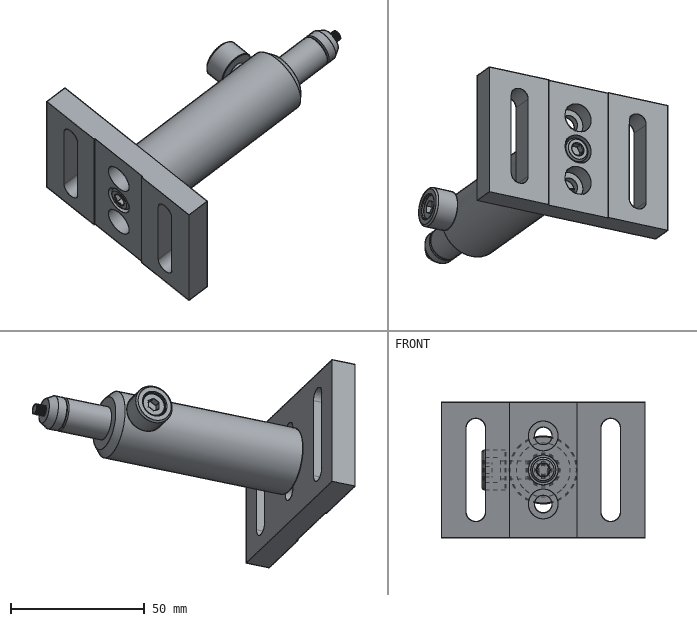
import cadquery as cq
import math


plate_width = 76.2
plate_height = 50.8
plate_thickness = 9.5
relief_width = plate_width / 3
relief_depth = 0.5
slot_width = 7.2
slot_length = 38.5
slot_offset = 25.2

hole_pitch = 12.7
hole_diameter = 6.5
counterbore_diameter = 11.1
counterbore_floor = 6.9
screw_shank_diameter = 6.3
screw_head_diameter = 9.4
screw_head_height = 6.2
screw_head_chamfer = 0.7
socket_across_flats = 4.5
socket_mouth_diameter = 5.3
socket_depth = 3.0
base_screw_reach = 10.0

barrel_diameter = 25.4
barrel_length = plate_width
barrel_start = plate_thickness
barrel_end = barrel_start + barrel_length
barrel_front_chamfer = 0.3
barrel_end_chamfer = 2.6
bore_depth = 50.8

post_diameter = 12.7
post_start = barrel_end - bore_depth
joint_chamfer = 0.5
tip_length = 6.9
tip_face_diameter = 9.4
tip_cone_length = 3.0

stud_end = 114.6
stud_exposed = 4.0
stud_diameter = 4.0
stud_root_diameter = 3.3
stud_pitch = 0.7
thread_mouth = 0.62
thread_overcut = 0.06
stud_post_engagement = 6.9
tip_end = stud_end - stud_exposed
post_end = tip_end - tip_length
stud_start = post_end - stud_post_engagement

thumb_setback = 10.1
thumb_y = barrel_end - thumb_setback
knob_diameter = 15.0
knob_outer_x = -22.9
knob_inner_x = -14.0
knob_outer_chamfer = 0.7
knob_inner_chamfer = 0.2
knob_rim_chamfer = 0.3
thumb_head_recess = 0.8
thumb_head_chamfer = 0.3
thumb_shank_diameter = 6.8


def cylinder_y(diameter, y_from, y_to, x=0.0, z=0.0):
    """Cylinder along Y between two stations."""
    return cq.Workplane("XZ", origin=(x, y_from, z)).circle(diameter / 2).extrude(y_from - y_to)


def cylinder_x(diameter, x_from, x_to):
    """Cylinder along X on the thumb screw axis."""
    return cq.Workplane("YZ", origin=(x_from, thumb_y, 0)).circle(diameter / 2).extrude(x_to - x_from)


def hex_socket(plane, depth, corner_angle=0.0):
    """Hexagonal socket sunk against the normal of the given plane."""
    corner_diameter = socket_across_flats / math.cos(math.pi / 6)
    outline = plane.transformed(rotate=(0, 0, corner_angle)).polygon(6, corner_diameter)
    return outline.extrude(-depth)


def make_plate():
    plate = cq.Workplane("XY").box(plate_width, plate_thickness, plate_height, centered=(True, False, True))
    relief = cq.Workplane("XY").box(relief_width, relief_depth, plate_height, centered=(True, False, True))
    plate = plate.cut(relief)
    slots = (
        cq.Workplane("XZ")
        .pushPoints([(-slot_offset, 0), (slot_offset, 0)])
        .slot2D(slot_length, slot_width, 90)
        .extrude(-plate_thickness)
    )
    plate = plate.cut(slots)
    for z in (-hole_pitch, 0, hole_pitch):
        plate = plate.cut(cylinder_y(hole_diameter, 0, plate_thickness, z=z))
        plate = plate.cut(cylinder_y(counterbore_diameter, 0, counterbore_floor, z=z))
    return plate


def make_base_screw():
    head_face = counterbore_floor - screw_head_height
    head = cylinder_y(screw_head_diameter, head_face, counterbore_floor)
    head = head.faces("<Y").chamfer(screw_head_chamfer)
    shank = cylinder_y(screw_shank_diameter, counterbore_floor, barrel_start + base_screw_reach)
    socket = hex_socket(cq.Workplane("XZ", origin=(0, head_face, 0)), socket_depth)
    mouth_chamfer = (socket_mouth_diameter - socket_across_flats) / 2
    mouth = cq.Solid.makeCone(
        socket_mouth_diameter / 2,
        socket_across_flats / 2,
        mouth_chamfer,
        cq.Vector(0, head_face, 0),
        cq.Vector(0, 1, 0),
    )
    return head.union(shank).cut(socket).cut(mouth)


def make_barrel():
    barrel = cylinder_y(barrel_diameter, barrel_start, barrel_end)
    barrel = barrel.faces(">Y").chamfer(barrel_end_chamfer)
    barrel = barrel.faces("<Y").chamfer(barrel_front_chamfer)
    bore = cylinder_y(post_diameter, post_start, barrel_end)
    base_screw_hole = cylinder_y(screw_shank_diameter, barrel_start, barrel_start + base_screw_reach)
    thumb_screw_hole = cylinder_x(thumb_shank_diameter, -barrel_diameter / 2, 0)
    return barrel.cut(bore).cut(base_screw_hole).cut(thumb_screw_hole)


def make_post():
    post = cylinder_y(post_diameter, post_start, post_end).faces(">Y").chamfer(joint_chamfer)
    return post.cut(cylinder_y(stud_diameter, stud_start, post_end))


def make_tip():
    post_radius = post_diameter / 2
    tip = (
        cq.Workplane("XY")
        .moveTo(0, post_end)
        .lineTo(post_radius - joint_chamfer, post_end)
        .lineTo(post_radius, post_end + joint_chamfer)
        .lineTo(post_radius, tip_end - tip_cone_length)
        .lineTo(tip_face_diameter / 2, tip_end)
        .lineTo(0, tip_end)
        .close()
        .revolve(360, (0, 0, 0), (0, 1, 0))
    )
    return tip.cut(cylinder_y(stud_diameter, post_end, tip_end))


def make_thread_turn():
    """One helical turn of the V groove, starting at the tip face."""
    root_radius = stud_root_diameter / 2
    groove_depth = stud_diameter / 2 + thread_overcut - root_radius
    half_mouth = thread_mouth / 2
    helix = cq.Wire.makeHelix(stud_pitch, stud_pitch, root_radius)
    return (
        cq.Workplane("XZ", origin=(root_radius, 0, 0))
        .polyline([(0, 0), (groove_depth, half_mouth), (groove_depth, -half_mouth)])
        .close()
        .sweep(cq.Workplane(obj=helix), isFrenet=True)
        .rotate((0, 0, 0), (1, 0, 0), -90)
        .translate((0, tip_end, 0))
    )


def make_stud():
    """Stud whose exposed end carries a helical V thread, cut one turn at a time."""
    stud = cylinder_y(stud_diameter, stud_start, stud_end)
    thread_turn = make_thread_turn()
    turn_count = math.ceil(stud_exposed / stud_pitch) + 1
    for turn in range(turn_count):
        stud = stud.cut(thread_turn.translate((0, turn * stud_pitch, 0)))
    return stud


def make_knob():
    knob = cylinder_x(knob_diameter, knob_outer_x, knob_inner_x)
    knob = knob.faces("<X").chamfer(knob_outer_chamfer).faces(">X").chamfer(knob_inner_chamfer)
    head_start = knob_outer_x + thumb_head_recess
    knob = knob.cut(cylinder_x(screw_head_diameter, knob_outer_x, head_start + screw_head_height))
    knob = knob.cut(cylinder_x(thumb_shank_diameter, knob_outer_x, knob_inner_x))
    bore_edge = cq.selectors.RadiusNthSelector(0)
    return knob.faces("<X").edges(bore_edge).chamfer(knob_rim_chamfer)


def make_thumb_screw():
    head_face = knob_outer_x + thumb_head_recess
    head = cylinder_x(screw_head_diameter, head_face, head_face + screw_head_height)
    head = head.faces("<X").chamfer(thumb_head_chamfer)
    shank = cylinder_x(thumb_shank_diameter, head_face + screw_head_height, -post_diameter / 2)
    socket_plane = cq.Workplane("YZ", origin=(head_face, thumb_y, 0))
    return head.union(shank).cut(hex_socket(socket_plane, -socket_depth, 90))


plate = make_plate()
base_screw = make_base_screw()
barrel = make_barrel()
post = make_post()
tip = make_tip()
stud = make_stud()
knob = make_knob()
thumb_screw = make_thumb_screw()
result = cq.Compound.makeCompound([
    b.val() for b in (plate, base_screw, barrel, post, tip, stud, knob, thumb_screw)
])